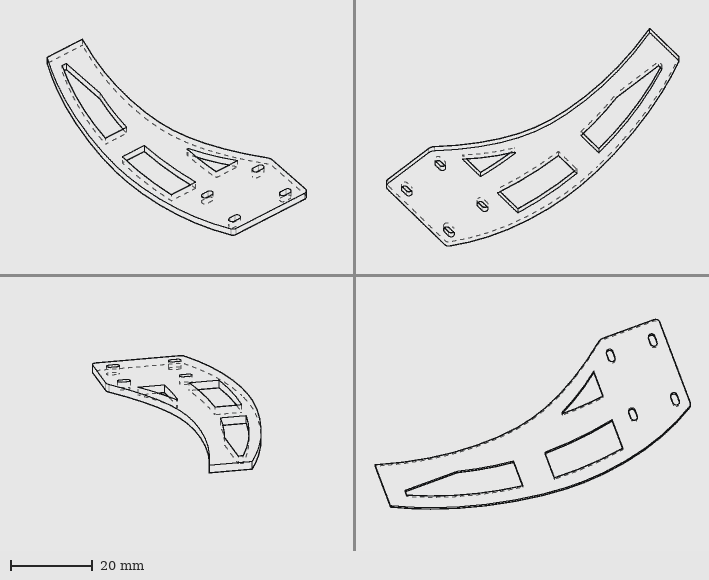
import cadquery as cq

length = 77.5
width = 31.7
thickness = 2.0

tip_bottom = (0, 10.8)
tip_top = (0, 21.6)
mount_top_start = (62.3, width)
mount_bottom = (length, 8.75)
corner_radius = 1.2
shoulder_radius = 2.3
upper_edge_points = [(13.9, 18.45), (26.5, 17.5), (39.5, 19.0), (53.5, 25.3), mount_top_start]
lower_edge_points = [(68.5, 4.3), (57.4, 1.2), (43.8, 0), (27.9, 1.7), (13.9, 5.2), tip_bottom]

window_right = 58.15
tip_window_left = 4.65
tip_window_right = 32.0
tip_window_top = 13.1
middle_window_left = 39.9
upper_window_left = 47.3

slot_length = 3.2
slot_width = 1.6
slot_columns = (63.4, 74.35)
slot_rows = (11.5, 27.05)


def make_blade():
    """Curved plate with rounded corners at the mounting end."""
    blade = (
        cq.Workplane("XY")
        .moveTo(*tip_top)
        .spline(upper_edge_points, includeCurrent=True)
        .lineTo(length, width)
        .lineTo(*mount_bottom)
        .spline(lower_edge_points, includeCurrent=True)
        .close()
        .extrude(thickness)
    )
    blade = blade.edges("|Z and >X").fillet(corner_radius)
    shoulder = cq.selectors.NearestToPointSelector((*mount_top_start, thickness / 2))
    return blade.edges("|Z").edges(shoulder).fillet(shoulder_radius)


def tip_window():
    """Long window tapering toward the tip, with a straight part along its top."""
    return (
        cq.Workplane("XY")
        .moveTo(tip_window_left, tip_window_top)
        .lineTo(18.2, tip_window_top)
        .threePointArc((25.1, 11.6), (tip_window_right, 10.7))
        .lineTo(tip_window_right, 4.2)
        .threePointArc((17.4, 7.2), (tip_window_left, 11.85))
        .close()
        .extrude(thickness)
    )


def middle_window():
    """Four-sided window following the lower edge of the blade."""
    return (
        cq.Workplane("XY")
        .moveTo(middle_window_left, 10.1)
        .threePointArc((48.9, 10.55), (window_right, 11.9))
        .lineTo(window_right, 4.4)
        .threePointArc((48.9, 3.4), (middle_window_left, 3.3))
        .close()
        .extrude(thickness)
    )


def upper_window():
    """Triangular window following the upper edge, blunt at its left end."""
    return (
        cq.Workplane("XY")
        .moveTo(upper_window_left, 17.6)
        .lineTo(upper_window_left, 17.9)
        .threePointArc((53.1, 21.2), (window_right, 24.8))
        .lineTo(window_right, 18.2)
        .threePointArc((53.1, 17.75), (upper_window_left, 17.6))
        .close()
        .extrude(thickness)
    )


def mounting_slots():
    """Four slots lengthwise in Y, at the corners of a rectangle."""
    centers = [(x, y) for x in slot_columns for y in slot_rows]
    return (
        cq.Workplane("XY")
        .pushPoints(centers)
        .slot2D(slot_length, slot_width, angle=90)
        .extrude(thickness)
    )


result = make_blade()
for opening in (tip_window(), middle_window(), upper_window(), mounting_slots()):
    result = result.cut(opening)